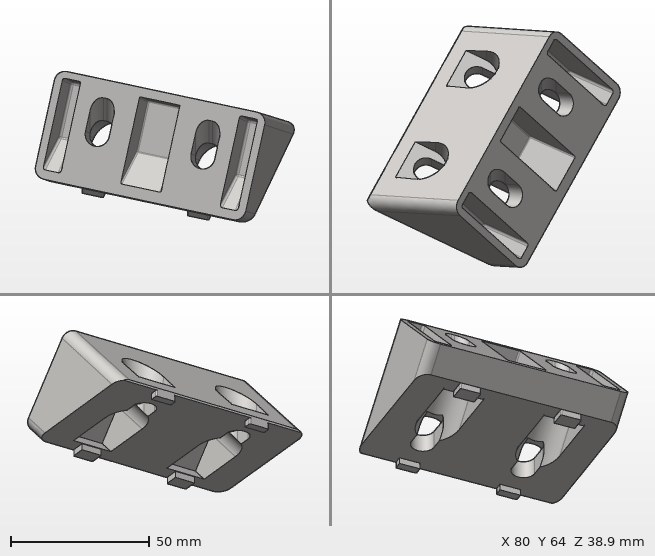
import cadquery as cq
import math


width = 80
length = 64
face_length = 39.8
corner_radius = 4
body_draft = 0.2
tip_height = 8.3
face_rise = face_length / math.sqrt(2)
height = tip_height + face_rise
widest_depth = face_length - corner_radius + tip_height * math.sqrt(2)
face_width = width - 2 * widest_depth * math.tan(math.radians(body_draft))
oversize = 2 * length

hole_spacing = 40
hole_width = 9.0
draft = 2

foot_width = 8.2
foot_height = 2.5
front_foot_length = 5.8
rear_foot_length = 3.2
foot_corner_radius = 0.5

front_slot_start = 15.5
front_slot_back = 23.5
front_slot_back_radius = 3.8
front_wall = 7.8
front_recess_width = 16
front_recess_start = 4.4
front_recess_end = 27.2

rear_slot_back = 53.9
rear_slot_length = 16
rear_recess_floor = 7.0
rear_recess_centre = 49.7
rear_recess_radius = 7.8

pocket_depth = 12.8
centre_pocket_width = 15.3
centre_pocket_bottom = 11.3
centre_pocket_top = 36.4
centre_pocket_radius = 0.5
side_pocket_width = 6.8
side_pocket_offset = 33.5
side_pocket_bottom = 10.7
side_pocket_top = 37.3
side_pocket_radius = 1.0

face_plane = cq.Plane(origin=(0, 0, tip_height), xDir=(1, 0, 0), normal=(0, -1, 1))


def box(x_size, y_start, y_end, z_start, z_end, x_centre=0):
    """A box centred on x_centre, between the given Y and Z limits."""
    corner = (x_centre - x_size / 2, y_start, z_start)
    return cq.Workplane().box(x_size, y_end - y_start, z_end - z_start, centered=False).translate(corner)


def make_body():
    """The rounded bar, clipped at the base and at the rear."""
    face_outline = cq.Sketch().rect(face_width, face_length).vertices().fillet(corner_radius)
    bar = (
        cq.Workplane(face_plane)
        .center(0, face_length / 2)
        .placeSketch(face_outline)
        .extrude(-oversize, taper=-body_draft)
    )
    return bar.intersect(box(oversize, -oversize, length, 0, height))


def make_foot(x, y_start, y_end, outer_edges):
    """A foot below the base, with its outer_edges rounded."""
    foot = box(foot_width, y_start, y_end, -foot_height, 0, x)
    return foot.edges("|Z").edges(outer_edges).fillet(foot_corner_radius)


def make_pocket(x, pocket_width, bottom, top, radius):
    """A drafted pocket square to the face, with a level lower wall at height `bottom`."""
    pocket = (
        cq.Workplane(face_plane)
        .center(x, top - oversize / 2)
        .rect(pocket_width, oversize)
        .extrude(-pocket_depth, taper=draft)
    )
    pocket = pocket.intersect(box(oversize, 0, length, bottom, height))
    return pocket.edges("not >(0, -1, 1)").fillet(radius)


def round_ended(plane, x, slot_width, round_end, open_end, depth, taper=0):
    """A prism with one round and one square end, running along local Y of `plane`."""
    radius = slot_width / 2
    side = math.copysign(radius, open_end - round_end)
    arc_start = round_end + side
    return (
        cq.Workplane(plane)
        .moveTo(x - radius, open_end)
        .lineTo(x - radius, arc_start)
        .threePointArc((x, round_end), (x + radius, arc_start))
        .lineTo(x + radius, open_end)
        .close()
        .extrude(depth, taper=taper)
    )


def make_front_slot(x):
    """A slot square to the face at its lower end and upright at its upper end, with a recess behind."""
    lower_end = round_ended(face_plane, x, hole_width, front_slot_start, face_length, -front_wall)
    upper_end = (
        box(hole_width, 0, front_slot_back, 0, height, x)
        .edges("|Z and >Y")
        .fillet(front_slot_back_radius)
    )
    recess_origin = face_plane.toWorldCoords((0, 0, -front_wall))
    recess_plane = cq.Plane(recess_origin, face_plane.xDir, face_plane.zDir)
    recess = round_ended(
        recess_plane, x, front_recess_width, front_recess_end, front_recess_start, -oversize
    )
    slot = lower_end.intersect(upper_end)
    return slot.union(recess)


def make_rear_slot(x):
    """An upright slot through the base, with a drafted recess above it."""
    slot = (
        cq.Workplane()
        .center(x, rear_slot_back - rear_slot_length / 2)
        .slot2D(rear_slot_length, hole_width, 90)
        .extrude(rear_recess_floor)
    )
    recess_plane = cq.Plane((0, 0, rear_recess_floor))
    recess_front = rear_recess_centre - rear_recess_radius
    recess = round_ended(recess_plane, x, 2 * rear_recess_radius, recess_front, length, height, -draft)
    return slot.union(recess)


result = make_body()

for side in (-1, 1):
    hole_x = side * hole_spacing / 2
    result = result.cut(make_front_slot(hole_x)).cut(make_rear_slot(hole_x))
    result = result.union(make_foot(hole_x, tip_height, tip_height + front_foot_length, "<Y"))
    result = result.union(make_foot(hole_x, length - rear_foot_length, length, ">Y"))
    side_pocket = make_pocket(
        side * side_pocket_offset, side_pocket_width, side_pocket_bottom, side_pocket_top, side_pocket_radius
    )
    result = result.cut(side_pocket)

centre_pocket = make_pocket(
    0, centre_pocket_width, centre_pocket_bottom, centre_pocket_top, centre_pocket_radius
)
result = result.cut(centre_pocket)